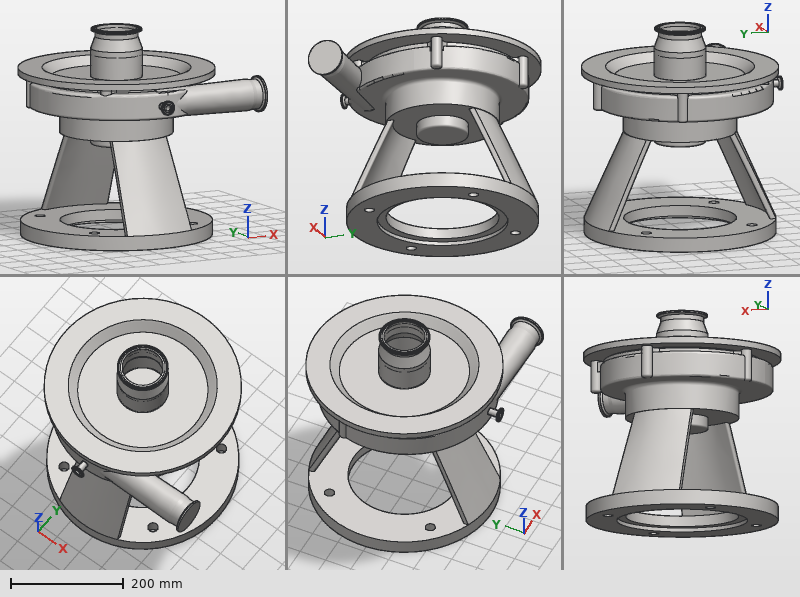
import cadquery as cq
import math

base_radius = 170.2
base_thickness = 26.0
base_bore_radius = 100.0
base_recess_radius = 115.8
base_recess_depth = 7.0
base_hole_radius = 9.0
base_hole_circle = 140.5
base_hole_count = 4

housing_radius = 100.7
housing_bottom = 184.0
housing_flare = 6.5
motor_boss_radius = 46.0
motor_boss_bottom = 163.0
motor_boss_fillet = 3.5

leg_top_radius = 99.5
leg_thickness = 11.5
leg_base_half_width = 65.0
leg_top_half_width = 55.0
leg_fillet = 3.0

casing_bottom = 232.8
casing_top = 278.5
scroll_radius = 147.0
scroll_step = 8.0
scroll_hold = 10
turn_radius = 77.2
casing_wall_y = scroll_radius + 2.5 * scroll_step
casing_top_fillet = 5.0
casing_bottom_fillet = 4.0

plate_radius = 175.0
plate_bottom = 288.7
plate_top = 300.0
cover_rim_radius = 139.0
cover_rim_top = 286.5
cover_neck_radius = 134.5
dish_mouth_radius = 132.0
dish_wall_radius = 129.0
dish_mouth_drop = 2.7
dish_floor_radius = 115.5
dish_floor = 284.0

boss_count = 5
boss_first_angle = 18
boss_circle = 153.0
boss_radius = 9.5
web_half_width = 24.0
web_blend = 23.0
web_tip_half_width = 8.5

ferrule_rim = 3.5
ferrule_flare = 2.7
groove_depth = 1.0

inlet_radius = 46.0
inlet_neck_radius = 38.2
inlet_wall = 2.0
inlet_cone_bottom = 334.5
inlet_cone_top = 356.0
inlet_top = 370.5
inlet_flare_radius = 43.2
inlet_rim_radius = 45.0
inlet_rim_chamfer = 1.0
inlet_bore_radius = 36.3
inlet_bore_cone_top = 342.5
inlet_bore_cone_bottom = 324.2
inlet_groove_inner = 39.8
inlet_groove_outer = 42.5

outlet_y = -139.5
outlet_z = 256.0
outlet_end = 211.0
outlet_root_radius = 25.0
outlet_radius = 28.0
outlet_neck_radius = 26.5
outlet_cone_end = 178.5
outlet_land_end = 186.5
outlet_neck_start = 193.8
outlet_flange_radius = 32.0
outlet_flare_radius = 30.0

drain_end = 189.5
drain_neck_radius = 6.5
drain_bore_radius = 5.0
drain_flange_radius = 12.7
drain_flare_radius = 11.2
drain_groove_inner = 7.7
drain_groove_outer = 10.5
drain_rim = 2.7


def cylinder(radius, bottom, top):
    return cq.Workplane("XY").workplane(offset=bottom).circle(radius).extrude(top - bottom)


def turned(profile):
    """Revolve (radius, height) points about the Z axis."""
    return cq.Workplane("XZ").polyline(profile).close().revolve(360, (0, 0, 0), (0, 1, 0))


def polar(radius, degrees):
    angle = math.radians(degrees)
    return (radius * math.cos(angle), radius * math.sin(angle))


def base_plate():
    first_hole = 45
    return (
        cylinder(base_radius, 0, base_thickness)
        .cut(cylinder(base_bore_radius, 0, base_thickness))
        .cut(cylinder(base_recess_radius, 0, base_recess_depth))
        .cut(
            cq.Workplane("XY")
            .polarArray(base_hole_circle, first_hole, 360, base_hole_count)
            .circle(base_hole_radius)
            .extrude(base_thickness)
        )
    )


def legs():
    """Two opposite tapered segments of a conical shell."""
    shell = turned([
        (base_radius, base_thickness),
        (leg_top_radius, housing_bottom),
        (leg_top_radius - leg_thickness, housing_bottom),
        (base_radius - leg_thickness, base_thickness),
    ])
    outline = (
        cq.Workplane("XZ")
        .polyline([
            (-leg_base_half_width, base_thickness),
            (leg_base_half_width, base_thickness),
            (leg_top_half_width, housing_bottom),
            (-leg_top_half_width, housing_bottom),
        ])
        .close()
        .extrude(base_radius)
    )
    leg = shell.intersect(outline)
    middle_z = (base_thickness + housing_bottom) / 2
    middle_x = (leg_base_half_width + leg_top_half_width) / 2
    middle_radius = (base_radius + leg_top_radius) / 2 - leg_thickness
    middle_y = -math.sqrt(middle_radius ** 2 - middle_x ** 2)
    for side in (-1, 1):
        inner_edge = cq.NearestToPointSelector((side * middle_x, middle_y, middle_z))
        leg = leg.edges(inner_edge).fillet(leg_fillet)
    return leg.union(leg.mirror("XZ"))


def housing():
    """Round housing that flares into the casing, with the motor boss beneath it."""
    flare = (
        cq.Workplane("XZ")
        .moveTo(0, housing_bottom)
        .lineTo(housing_radius, housing_bottom)
        .lineTo(housing_radius, casing_bottom - housing_flare)
        .radiusArc((housing_radius + housing_flare, casing_bottom), housing_flare)
        .lineTo(0, casing_bottom)
        .close()
        .revolve(360, (0, 0, 0), (0, 1, 0))
    )
    motor_boss = cylinder(motor_boss_radius, motor_boss_bottom, housing_bottom)
    return flare.union(motor_boss.faces("<Z").edges().fillet(motor_boss_fillet))


def casing():
    """Scroll of tangent arcs, each wider than the last, turning back under the outlet."""
    half = scroll_step / 2
    last_radius = scroll_radius + 2 * scroll_step
    turn_angle = 270 + scroll_hold
    turn_x, turn_y = polar(last_radius - turn_radius, turn_angle)
    turn_x += half
    turn_y -= half
    start_x = scroll_radius - half
    reach = start_x - turn_radius
    drop = half - turn_y
    return_x = (reach ** 2 - turn_x ** 2 - drop ** 2) / (2 * (reach - turn_x))
    return_radius = start_x - return_x
    return_angle = 360 - math.degrees(math.atan2(drop, turn_x - return_x))

    arcs = [
        (-half, half, scroll_radius, 90),
        (-half, -half, scroll_radius + scroll_step, 180),
        (half, -half, last_radius, turn_angle),
        (turn_x, turn_y, turn_radius, return_angle),
        (return_x, half, return_radius, 360),
    ]
    outline = cq.Workplane("XY").workplane(offset=casing_bottom).moveTo(start_x, half)
    arc_start = 0
    for centre_x, centre_y, radius, arc_end in arcs:
        middle_x, middle_y = polar(radius, (arc_start + arc_end) / 2)
        end_x, end_y = polar(radius, arc_end)
        outline = outline.threePointArc(
            (centre_x + middle_x, centre_y + middle_y),
            (centre_x + end_x, centre_y + end_y),
        )
        arc_start = arc_end
    return (
        outline
        .close()
        .extrude(casing_top - casing_bottom)
        .faces(">Z")
        .edges()
        .fillet(casing_top_fillet)
        .faces("<Z")
        .edges()
        .fillet(casing_bottom_fillet)
    )


def cover():
    """Top plate with a dished centre, carried on a rim that sinks into the casing."""
    cover_root = (casing_bottom + casing_top) / 2
    return turned([
        (0, cover_root),
        (cover_rim_radius, cover_root),
        (cover_rim_radius, cover_rim_top),
        (cover_neck_radius, cover_rim_top),
        (cover_neck_radius, plate_bottom),
        (plate_radius, plate_bottom),
        (plate_radius, plate_top),
        (dish_mouth_radius, plate_top),
        (dish_wall_radius, plate_top - dish_mouth_drop),
        (dish_floor_radius, dish_floor),
        (0, dish_floor),
    ])


def bosses():
    """Posts from the casing floor to the plate, each with a web to the cover rim."""
    web_bottom = casing_top - 2 * casing_top_fillet
    post = (
        cylinder(boss_radius, casing_bottom, plate_bottom)
        .faces("<Z")
        .edges()
        .fillet(casing_bottom_fillet)
        .translate((boss_circle, 0, 0))
    )
    web_start = cover_neck_radius
    web = (
        cq.Workplane("XY")
        .workplane(offset=web_bottom)
        .moveTo(web_start, -web_half_width)
        .radiusArc((boss_circle, -web_tip_half_width), web_blend)
        .lineTo(boss_circle, web_tip_half_width)
        .radiusArc((web_start, web_half_width), web_blend)
        .close()
        .extrude(cover_rim_top - web_bottom)
    )
    boss = post.union(web)
    ring = cq.Workplane("XY")
    for i in range(boss_count):
        angle = boss_first_angle + 360 * i / boss_count
        ring = ring.union(boss.rotate((0, 0, 0), (0, 0, 1), angle))
    return ring


def inlet_tube():
    """Hollow tube with a reducing neck and a clamp rim, standing on the dish floor."""
    rim_bottom = inlet_top - ferrule_rim
    return turned([
        (inlet_radius, dish_floor),
        (inlet_radius, inlet_cone_bottom),
        (inlet_neck_radius, inlet_cone_top),
        (inlet_neck_radius, rim_bottom - ferrule_flare),
        (inlet_flare_radius, rim_bottom),
        (inlet_rim_radius, rim_bottom),
        (inlet_rim_radius, inlet_top - inlet_rim_chamfer),
        (inlet_rim_radius - inlet_rim_chamfer, inlet_top),
        (inlet_groove_outer, inlet_top),
        (inlet_groove_outer, inlet_top - groove_depth),
        (inlet_groove_inner, inlet_top - groove_depth),
        (inlet_groove_inner, inlet_top),
        (inlet_bore_radius, inlet_top),
        (inlet_bore_radius, inlet_bore_cone_top),
        (inlet_radius - inlet_wall, inlet_bore_cone_bottom),
        (inlet_radius - inlet_wall, dish_floor),
    ])


def outlet_pipe():
    """Slightly widening pipe along +X that leaves the casing tangentially."""
    rim_start = outlet_end - ferrule_rim
    return (
        turned([
            (0, 0),
            (outlet_root_radius, 0),
            (outlet_radius, outlet_cone_end),
            (outlet_radius, outlet_land_end),
            (outlet_neck_radius, outlet_neck_start),
            (outlet_neck_radius, rim_start - ferrule_flare),
            (outlet_flare_radius, rim_start),
            (outlet_flange_radius, rim_start),
            (outlet_flange_radius, outlet_end),
            (0, outlet_end),
        ])
        .rotate((0, 0, 0), (0, 1, 0), 90)
        .translate((0, outlet_y, outlet_z))
    )


def drain_nozzle():
    """Small flanged stub pointing to -Y, bored down to the casing wall."""
    rim_start = drain_end - drain_rim
    root = casing_wall_y - casing_top_fillet
    return (
        turned([
            (0, root),
            (drain_neck_radius, root),
            (drain_neck_radius, rim_start - ferrule_flare),
            (drain_flare_radius, rim_start),
            (drain_flange_radius, rim_start),
            (drain_flange_radius, drain_end),
            (drain_groove_outer, drain_end),
            (drain_groove_outer, drain_end - groove_depth),
            (drain_groove_inner, drain_end - groove_depth),
            (drain_groove_inner, drain_end),
            (drain_bore_radius, drain_end),
            (drain_bore_radius, casing_wall_y),
            (0, casing_wall_y),
        ])
        .rotate((0, 0, 0), (1, 0, 0), 90)
        .translate((0, 0, outlet_z))
    )


result = base_plate()
for feature in (legs, housing, casing, cover, bosses, inlet_tube, outlet_pipe, drain_nozzle):
    result = result.union(feature())